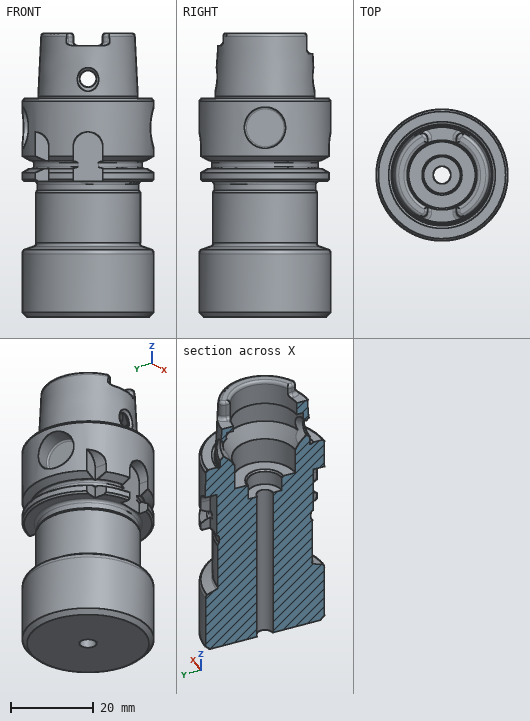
import cadquery as cq
import math

total_length = 69.0
flange_radius = 16.0
body_radius = 12.75
neck_radius = 24.8 / 2

nut_bottom_chamfer = 1.2
nut_cylinder_top = 15.3
nut_rounding_top = 16.35
nut_rounding_radius_loss = 0.4
nut_cone_top = 17.25
nut_cone_top_radius = 13.05
body_start = 18.1

body_top = 30.15
neck_start = 30.8
neck_top = 32.3

flange_bottom = 33.05
flange_bottom_chamfer = 0.5
lower_rim_top = 35.05
groove_floor_radius = 13.215
groove_bottom = 36.1
groove_top = 37.95
groove_fillet = 0.5
groove_flank_slope = math.tan(math.radians(30))
upper_rim_bottom = 39.1
lower_flank_end = flange_radius - (groove_bottom - lower_rim_top) / groove_flank_slope
upper_flank_end = flange_radius - (upper_rim_bottom - groove_top) / groove_flank_slope
flange_top = 53.1
flange_top_chamfer_width = 0.55
flange_top_chamfer_height = 0.7

undercut_radius = 13.0
undercut_floor_radius = 12.35
undercut_depth = 0.35
shank_base_radius = 12.1
taper_start = 53.7
taper_start_radius = 12.15
taper_ratio = 20.0
taper_top_radius = taper_start_radius - (total_length - taper_start) / taper_ratio
mouth_radius = 17.0 / 2
crown_rounding = 0.8
clamp_groove_radius = 20.5 / 2
clamp_groove_top = 62.45
clamp_groove_bottom = 56.0
socket_radius = 8.1
socket_cone_slope = math.tan(math.radians(60))
socket_cone_bottom = clamp_groove_bottom - (clamp_groove_radius - socket_radius) * socket_cone_slope
socket_floor = 45.55
tube_bore_radius = 8.9 / 2
tube_bore_chamfer = 0.4
tube_bore_floor = 41.4
coolant_radius = 4.2 / 2

slot_half_width = 3.5
slot_shoulder = 10.18
slot_rounding = 1.3
slot_floor_fillet = 1.0
front_slot_floor = 65.95
back_slot_floor = 64.0

cross_hole_z = 57.9
cross_hole_diameter = 4.0
cross_sink_diameter = 5.7

keyway_width = 7.2
keyway_top = 45.0
keyway_floor = 13.0
notch_wall = 9.5

side_bore_diameter = 10.0
side_bore_z = 46.0
side_bore_floor = 11.05
side_bore_floor_fillet = 0.4
left_bore_angle = 187.0
right_bore_angle = 0.0


def turned_body():
    outline = (
        cq.Workplane("XZ")
        .moveTo(0, 0)
        .lineTo(flange_radius - nut_bottom_chamfer, 0)
        .lineTo(flange_radius, nut_bottom_chamfer)
        .lineTo(flange_radius, nut_cylinder_top)
        .tangentArcPoint((flange_radius - nut_rounding_radius_loss, nut_rounding_top), relative=False)
        .lineTo(nut_cone_top_radius, nut_cone_top)
        .tangentArcPoint((body_radius, body_start), relative=False)
        .lineTo(body_radius, body_top)
        .lineTo(neck_radius, neck_start)
        .lineTo(neck_radius, neck_top)
        .tangentArcPoint((neck_radius + flange_bottom - neck_top, flange_bottom), relative=False)
        .lineTo(flange_radius - flange_bottom_chamfer, flange_bottom)
        .lineTo(flange_radius, flange_bottom + flange_bottom_chamfer)
        .lineTo(flange_radius, lower_rim_top)
        .lineTo(lower_flank_end, groove_bottom)
        .lineTo(groove_floor_radius + groove_fillet, groove_bottom)
        .tangentArcPoint((groove_floor_radius, groove_bottom + groove_fillet), relative=False)
        .lineTo(groove_floor_radius, groove_top - groove_fillet)
        .tangentArcPoint((groove_floor_radius + groove_fillet, groove_top), relative=False)
        .lineTo(upper_flank_end, groove_top)
        .lineTo(flange_radius, upper_rim_bottom)
        .lineTo(flange_radius, flange_top - flange_top_chamfer_height)
        .lineTo(flange_radius - flange_top_chamfer_width, flange_top)
        .lineTo(undercut_radius, flange_top)
        .lineTo(undercut_floor_radius, flange_top - undercut_depth)
        .lineTo(shank_base_radius, flange_top - undercut_depth)
        .lineTo(shank_base_radius, taper_start)
        .lineTo(taper_start_radius, taper_start)
        .lineTo(taper_top_radius, total_length)
        .lineTo(0, total_length)
        .close()
    )
    return outline.revolve(360, (0, 0, 0), (0, 1, 0))


def shank_cavity():
    """Clamping cavity, stepped tube bore and the coolant hole through to the bottom."""
    outline = (
        cq.Workplane("XZ")
        .moveTo(0, total_length)
        .lineTo(mouth_radius, total_length)
        .lineTo(mouth_radius, clamp_groove_top)
        .lineTo(clamp_groove_radius, clamp_groove_top)
        .lineTo(clamp_groove_radius, clamp_groove_bottom)
        .lineTo(socket_radius, socket_cone_bottom)
        .lineTo(socket_radius, socket_floor)
        .lineTo(tube_bore_radius + tube_bore_chamfer, socket_floor)
        .lineTo(tube_bore_radius, socket_floor - tube_bore_chamfer)
        .lineTo(tube_bore_radius, tube_bore_floor)
        .lineTo(coolant_radius, tube_bore_floor)
        .lineTo(coolant_radius, 0)
        .lineTo(0, 0)
        .close()
    )
    return outline.revolve(360, (0, 0, 0), (0, 1, 0))


def drive_slot(side, floor):
    """Cutter for one crown slot that widens to the full shank past the shoulder."""
    reach = flange_radius
    height = total_length - floor
    outline = (
        cq.Workplane("XY", origin=(0, 0, floor))
        .moveTo(-slot_half_width, 0)
        .lineTo(slot_half_width, 0)
        .lineTo(slot_half_width, side * (slot_shoulder - slot_rounding))
        .tangentArcPoint((slot_half_width + slot_rounding, side * slot_shoulder), relative=False)
        .lineTo(reach, side * slot_shoulder)
        .lineTo(reach, side * reach)
        .lineTo(-reach, side * reach)
        .lineTo(-reach, side * slot_shoulder)
        .lineTo(-slot_half_width - slot_rounding, side * slot_shoulder)
        .tangentArcPoint((-slot_half_width, side * (slot_shoulder - slot_rounding)), relative=False)
        .close()
    )
    return outline.extrude(height).faces("<Z").edges().fillet(slot_floor_fillet)


def cross_hole(side):
    """Cutter for one radial hole, countersunk from both faces of the shank wall."""
    wall = taper_start_radius - (cross_hole_z - taper_start) / taper_ratio
    hole_radius = cross_hole_diameter / 2
    sink_radius = cross_sink_diameter / 2
    sink_depth = sink_radius - hole_radius
    throat = wall - sink_depth
    overrun = 1.4
    outline = (
        cq.Workplane("XY", origin=(0, 0, cross_hole_z))
        .moveTo(0, side * (throat - overrun - sink_depth))
        .lineTo(sink_radius + overrun, side * (throat - overrun - sink_depth))
        .lineTo(hole_radius, side * throat)
        .lineTo(sink_radius + overrun, side * (wall + overrun))
        .lineTo(0, side * (wall + overrun))
        .close()
    )
    return outline.revolve(360, (0, 0, 0), (0, 1, 0))


def arched_cutter(center_x, inner_y, side):
    """Round-topped keyway running outwards along Y from a flat wall."""
    radius = keyway_width / 2
    arch_z = keyway_top - radius
    block = (
        cq.Workplane("XZ", origin=(0, inner_y, 0))
        .moveTo(center_x - radius, neck_top)
        .lineTo(center_x + radius, neck_top)
        .lineTo(center_x + radius, arch_z)
        .threePointArc((center_x, keyway_top), (center_x - radius, arch_z))
        .close()
    )
    return block.extrude(-side * flange_radius)


def side_bore(angle):
    """Cutter for a flat-bottomed radial bore, turned about Z to the given angle."""
    depth = flange_radius - side_bore_floor
    bore = (
        cq.Workplane("YZ", origin=(side_bore_floor, 0, side_bore_z))
        .circle(side_bore_diameter / 2)
        .extrude(depth)
        .faces("<X").edges().fillet(side_bore_floor_fillet)
    )
    return bore.rotate((0, 0, 0), (0, 0, 1), angle)


result = turned_body().cut(shank_cavity())
result = result.cut(drive_slot(-1, front_slot_floor)).cut(drive_slot(1, back_slot_floor))
result = result.faces(">Z").edges().fillet(crown_rounding)
for side in (-1, 1):
    result = result.cut(cross_hole(side))
    result = result.cut(arched_cutter(0, side * keyway_floor, side))
result = result.cut(arched_cutter(-notch_wall - keyway_width / 2, -notch_wall, -1))
for angle in (left_bore_angle, right_bore_angle):
    result = result.cut(side_bore(angle))